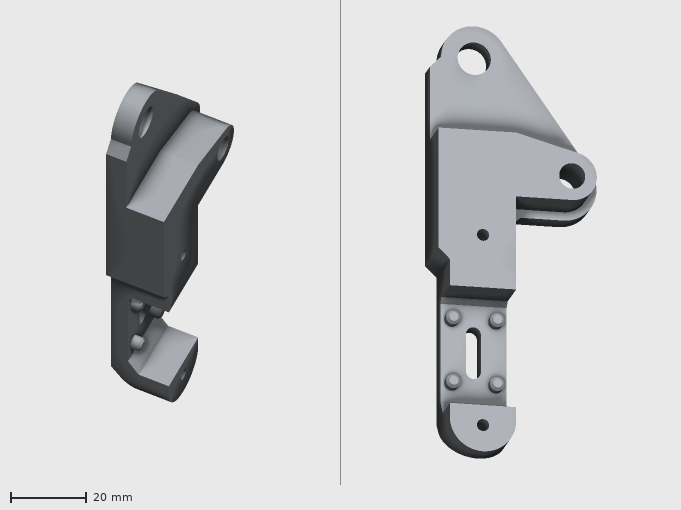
import cadquery as cq
import math

HEIGHT = 121.6
THICKNESS = 17.0
PLATE_THICKNESS = 6.0
END_RADIUS = 9.0
EDGE_CHAMFER = 3.0
FRONT_Y = -END_RADIUS - EDGE_CHAMFER

TOP_HOLE_Z = HEIGHT - END_RADIUS
SIDE_HOLE_Y = 24.2
SIDE_HOLE_Z = 78.2
INNER_CORNER_CHAMFER = 3.5
SHOULDER_Z = 52.9

BLOCK_TOP_Z = 89.2
BLOCK_LOBE_RADIUS = 6.7

WALL_THICKNESS = 5.0
CAVITY_FLOOR_Z = 12.9
CAVITY_CEILING_Z = 45.6
CEILING_CHAMFER = 1.5
FLOOR_CHAMFER_X = 3.2
FLOOR_CHAMFER_Z = 4.1
FOOT_SLOPE_X = 10.5
FOOT_SLOPE_Z = 11.9

LARGE_DIAMETER = 9.0
SIDE_BORE_DEPTH = 4.0
SCREW_HEAD_DIAMETER = 7.0
SCREW_DIAMETER = 3.3
SCREW_BORE_DEPTH = 12.2
SCREW_HEIGHTS = (7.3, 60.2)
SLOT_WIDTH = 4.0
SLOT_LENGTH = 14.3
SLOT_CENTER_Z = 31.0
PIN_DIAMETER = 3.9
PIN_LENGTH = 3.0
PIN_CHAMFER = 0.7
PIN_OFFSET_Y = 6.0
PIN_SPACING_Z = 17.8


def on_circle(center, radius, angle):
    return (center[0] + radius * math.cos(angle), center[1] + radius * math.sin(angle))


def cylinder(y, z, diameter, start_x, length):
    return cq.Workplane("YZ", origin=(start_x, y, z)).circle(diameter / 2).extrude(length)


def stepped_hole(y, z, bore_diameter, bore_depth, hole_diameter):
    """Through hole with a bore from X = 0 that narrows along a 45 degree cone."""
    bore_radius = bore_diameter / 2
    hole_radius = hole_diameter / 2
    cone_end = bore_depth + bore_radius - hole_radius
    profile = [
        (0, 0),
        (0, bore_radius),
        (bore_depth, bore_radius),
        (cone_end, hole_radius),
        (THICKNESS, hole_radius),
        (THICKNESS, 0),
    ]
    tool = cq.Workplane("XY").polyline(profile).close().revolve(360, (0, 0, 0), (1, 0, 0))
    return tool.translate((0, y, z))


def make_plate():
    top = (0, TOP_HOLE_Z)
    side = (SIDE_HOLE_Y, SIDE_HOLE_Z)
    normal_angle = math.atan2(SIDE_HOLE_Y, TOP_HOLE_Z - SIDE_HOLE_Z)
    lobe_bottom_z = SIDE_HOLE_Z - END_RADIUS
    return (
        cq.Workplane("YZ")
        .moveTo(-END_RADIUS, END_RADIUS)
        .lineTo(-END_RADIUS, SHOULDER_Z)
        .lineTo(FRONT_Y, SHOULDER_Z + EDGE_CHAMFER)
        .lineTo(FRONT_Y, TOP_HOLE_Z - EDGE_CHAMFER)
        .lineTo(-END_RADIUS, TOP_HOLE_Z)
        .threePointArc((0, HEIGHT), on_circle(top, END_RADIUS, normal_angle))
        .lineTo(*on_circle(side, END_RADIUS, normal_angle))
        .threePointArc((SIDE_HOLE_Y + END_RADIUS, SIDE_HOLE_Z), (SIDE_HOLE_Y, lobe_bottom_z))
        .lineTo(END_RADIUS + INNER_CORNER_CHAMFER, lobe_bottom_z)
        .lineTo(END_RADIUS, lobe_bottom_z - INNER_CORNER_CHAMFER)
        .lineTo(END_RADIUS, END_RADIUS)
        .threePointArc((0, 0), (-END_RADIUS, END_RADIUS))
        .close()
        .extrude(PLATE_THICKNESS)
    )


def make_block():
    side = (SIDE_HOLE_Y, SIDE_HOLE_Z)
    run = SIDE_HOLE_Y - END_RADIUS
    rise = BLOCK_TOP_Z - SIDE_HOLE_Z
    corner_angle = math.atan2(rise, -run)
    tangent_angle = corner_angle - math.acos(BLOCK_LOBE_RADIUS / math.hypot(run, rise))
    lobe_bottom_z = SIDE_HOLE_Z - BLOCK_LOBE_RADIUS
    return (
        cq.Workplane("YZ")
        .moveTo(-END_RADIUS, END_RADIUS)
        .lineTo(-END_RADIUS, SHOULDER_Z)
        .lineTo(FRONT_Y, SHOULDER_Z + EDGE_CHAMFER)
        .lineTo(FRONT_Y, BLOCK_TOP_Z)
        .lineTo(END_RADIUS, BLOCK_TOP_Z)
        .lineTo(*on_circle(side, BLOCK_LOBE_RADIUS, tangent_angle))
        .threePointArc((SIDE_HOLE_Y + BLOCK_LOBE_RADIUS, SIDE_HOLE_Z), (SIDE_HOLE_Y, lobe_bottom_z))
        .lineTo(END_RADIUS, lobe_bottom_z)
        .lineTo(END_RADIUS, END_RADIUS)
        .threePointArc((0, 0), (-END_RADIUS, END_RADIUS))
        .close()
        .extrude(THICKNESS)
    )


def across_arm(points):
    """Prism with an XZ outline, spanning the whole width of the arm."""
    return cq.Workplane("XZ").polyline(points).close().extrude(END_RADIUS, both=True)


def make_cavity():
    return across_arm([
        (THICKNESS, CAVITY_FLOOR_Z),
        (WALL_THICKNESS + FLOOR_CHAMFER_X, CAVITY_FLOOR_Z),
        (WALL_THICKNESS, CAVITY_FLOOR_Z + FLOOR_CHAMFER_Z),
        (WALL_THICKNESS, CAVITY_CEILING_Z - CEILING_CHAMFER),
        (WALL_THICKNESS + CEILING_CHAMFER, CAVITY_CEILING_Z),
        (THICKNESS, CAVITY_CEILING_Z),
    ])


def make_foot_slope():
    return across_arm([(0, 0), (FOOT_SLOPE_X, 0), (0, FOOT_SLOPE_Z)])


def make_slot():
    return (
        cq.Workplane("YZ", origin=(0, 0, SLOT_CENTER_Z))
        .slot2D(SLOT_LENGTH, SLOT_WIDTH, 90)
        .extrude(WALL_THICKNESS)
    )


def make_pin(y, z):
    pin = cylinder(y, z, PIN_DIAMETER, WALL_THICKNESS / 2, WALL_THICKNESS / 2 + PIN_LENGTH)
    return pin.faces(">X").chamfer(PIN_CHAMFER)


result = make_plate().union(make_block())
result = result.cut(make_cavity()).cut(make_foot_slope()).cut(make_slot())

result = result.cut(cylinder(0, TOP_HOLE_Z, LARGE_DIAMETER, 0, PLATE_THICKNESS))
result = result.cut(
    stepped_hole(SIDE_HOLE_Y, SIDE_HOLE_Z, LARGE_DIAMETER, SIDE_BORE_DEPTH, SCREW_HEAD_DIAMETER)
)
for screw_z in SCREW_HEIGHTS:
    result = result.cut(
        stepped_hole(0, screw_z, SCREW_HEAD_DIAMETER, SCREW_BORE_DEPTH, SCREW_DIAMETER)
    )

for y_side in (-1, 1):
    for z_side in (-1, 1):
        pin_z = SLOT_CENTER_Z + z_side * PIN_SPACING_Z / 2
        result = result.union(make_pin(y_side * PIN_OFFSET_Y, pin_z))